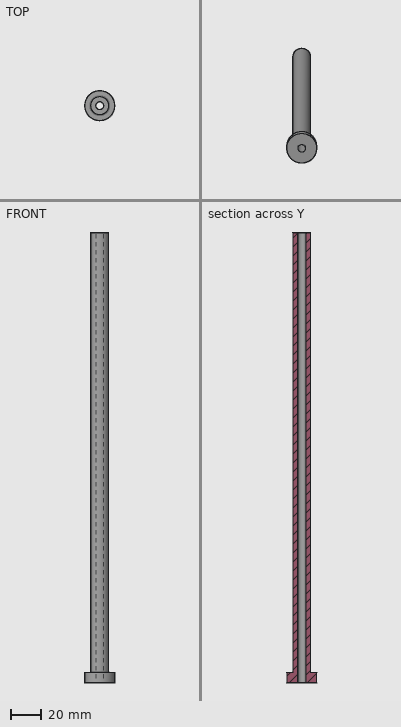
import cadquery as cq

total_length = 300.0
head_diameter = 20.0
head_thickness = 7.0
shaft_diameter = 12.0
bore_diameter = 5.0
neck_fillet = 0.5

head = cq.Workplane("XY").circle(head_diameter / 2).extrude(head_thickness)
shaft = cq.Workplane("XY").circle(shaft_diameter / 2).extrude(total_length)
body = head.union(shaft)

neck_corner = cq.selectors.RadiusNthSelector(0)
head_top = body.faces("|Z").faces("<Z[1]")
body = head_top.edges(neck_corner).fillet(neck_fillet)

bore = cq.Workplane("XY").circle(bore_diameter / 2).extrude(total_length)
result = body.cut(bore)